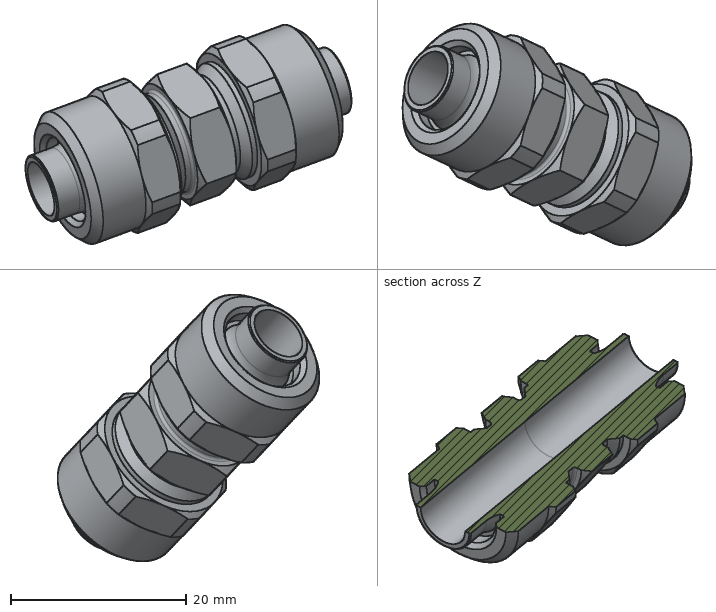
import cadquery as cq
import math


tube_end = 19.0
nut_end = 16.23
nut_hex_end = 9.7
nut_hex_start = 5.2
collar_end = 4.55
collar_cone_end = 3.55
body_hex_half_length = 2.5

bore_diameter = 6.5
tube_diameter = 8.0
sleeve_diameter = 9.1
nut_bore_diameter = 10.15
nut_mouth_diameter = 11.25
neck_diameter = 12.0
nut_face_diameter = 14.0
collar_diameter = 14.0
nut_diameter = 16.0

nut_corner_diameter = 17.48
body_hex_flats = 14.0
hex_chamfer_angle = math.radians(30)

nut_chamfer_length = 1.03
tube_chamfer = 0.15
neck_fillet = 0.35
nut_recess_depth = 2.0
sleeve_flare_length = 1.95

bore_radius = bore_diameter / 2
tube_radius = tube_diameter / 2
sleeve_radius = sleeve_diameter / 2
nut_bore_radius = nut_bore_diameter / 2
nut_mouth_radius = nut_mouth_diameter / 2
neck_radius = neck_diameter / 2
collar_radius = collar_diameter / 2
nut_radius = nut_diameter / 2


def revolve_about_y(profile):
    """Revolve a closed profile drawn as (radius, y) fully about the Y axis."""
    return profile.close().revolve(360, (0, 0, 0), (0, 1, 0))


def across_corners(flats):
    return flats / math.cos(math.pi / 6)


def chamfered_hexagon(flats, corner_diameter, y_start, y_end):
    """Hexagon with flats facing Z, its corners trimmed round and chamfered at both ends."""
    prism = (
        cq.Workplane("XZ", origin=(0, y_start, 0))
        .polygon(6, across_corners(flats))
        .extrude(y_start - y_end)
    )
    face_radius = flats / 2
    corner_radius = corner_diameter / 2
    chamfer_length = (corner_radius - face_radius) * math.tan(hex_chamfer_angle)
    envelope = revolve_about_y(
        cq.Workplane("XY")
        .moveTo(0, y_start)
        .lineTo(face_radius, y_start)
        .lineTo(corner_radius, y_start + chamfer_length)
        .lineTo(corner_radius, y_end - chamfer_length)
        .lineTo(face_radius, y_end)
        .lineTo(0, y_end)
    )
    return prism.intersect(envelope)


def turned_half():
    """Neck, collar, round nut skirt, recessed nut mouth and tube on the +Y side."""
    recess_floor = nut_end - nut_recess_depth
    mouth_chamfer = nut_mouth_radius - nut_bore_radius
    flare_rise = sleeve_radius - tube_radius
    flare_end = recess_floor + sleeve_flare_length
    flare_arc_radius = (sleeve_flare_length**2 + flare_rise**2) / (2 * flare_rise)
    half_angle = math.asin(sleeve_flare_length / flare_arc_radius) / 2
    flare_middle = (
        tube_radius + flare_arc_radius * (1 - math.cos(half_angle)),
        flare_end - flare_arc_radius * math.sin(half_angle),
    )
    fillet_center = (neck_radius + neck_fillet, body_hex_half_length + neck_fillet)
    fillet_middle = (
        fillet_center[0] - neck_fillet * math.cos(math.pi / 4),
        fillet_center[1] - neck_fillet * math.sin(math.pi / 4),
    )
    return revolve_about_y(
        cq.Workplane("XY")
        .moveTo(0, 0)
        .lineTo(neck_radius + neck_fillet, 0)
        .lineTo(neck_radius + neck_fillet, body_hex_half_length)
        .threePointArc(fillet_middle, (neck_radius, fillet_center[1]))
        .lineTo(neck_radius, collar_cone_end)
        .lineTo(collar_radius, collar_end)
        .lineTo(collar_radius, nut_hex_end)
        .lineTo(nut_radius, nut_hex_end)
        .lineTo(nut_radius, nut_end - nut_chamfer_length)
        .lineTo(nut_face_diameter / 2, nut_end)
        .lineTo(nut_mouth_radius, nut_end)
        .lineTo(nut_bore_radius, nut_end - mouth_chamfer)
        .lineTo(nut_bore_radius, recess_floor)
        .lineTo(sleeve_radius, recess_floor)
        .threePointArc(flare_middle, (tube_radius, flare_end))
        .lineTo(tube_radius, tube_end - tube_chamfer)
        .lineTo(tube_radius - tube_chamfer, tube_end)
        .lineTo(0, tube_end)
    )


body_hexagon = chamfered_hexagon(
    body_hex_flats, across_corners(body_hex_flats), -body_hex_half_length, body_hex_half_length
)
nut_hexagon = chamfered_hexagon(nut_diameter, nut_corner_diameter, nut_hex_start, nut_hex_end)
coupling_half = turned_half().union(nut_hexagon)
bore = cq.Workplane("XZ").circle(bore_radius).extrude(tube_end, both=True)

result = coupling_half.union(coupling_half.mirror("XZ")).union(body_hexagon).cut(bore)